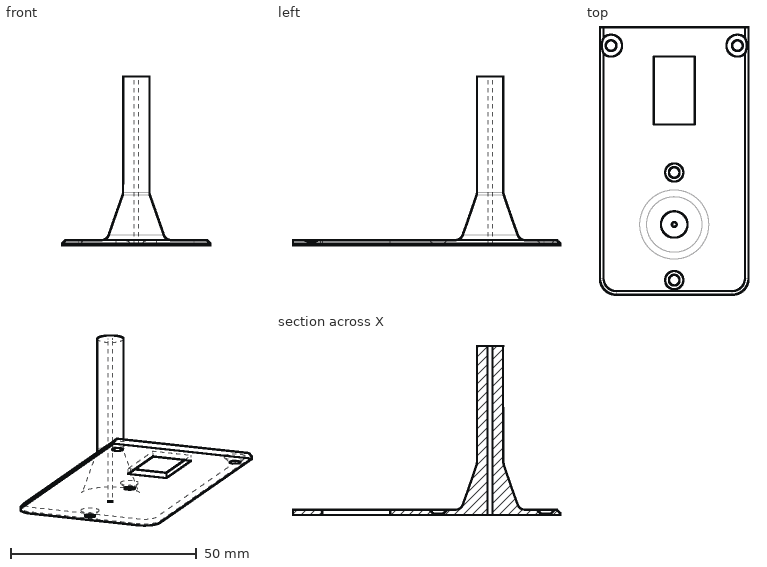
import cadquery as cq

plate_width = 40.0
plate_length = 72.0
plate_thickness = 1.5
corner_radius = 4.5
edge_chamfer = 1.0
back_y = plate_length / 2

window_width = 11.0
window_length = 18.2
window_back_margin = 7.9

post_y = back_y - 53.1
post_diameter = 7.1
bore_diameter = 1.2
cone_base_diameter = 15.85
cone_height = 12.45
cone_top = plate_thickness + cone_height
blend_radius = 1.95
total_height = 45.5

hole_diameter = 2.8
corner_sink_diameter = 5.9
center_sink_diameter = 4.9
corner_sink_depth = plate_thickness
center_sink_depth = (center_sink_diameter - hole_diameter) / 2
corner_hole_x = 17.0
corner_hole_y = back_y - 5.0
upper_hole_y = post_y + 14.0
lower_hole_y = post_y - 15.0


def make_plate():
    plate = cq.Workplane("XY").box(plate_width, plate_length, plate_thickness, centered=(True, True, False))
    plate = plate.faces("<Y").edges("|Z").fillet(corner_radius)
    return plate.faces(">Z").edges("not(>Y)").chamfer(edge_chamfer)


def make_post():
    post_radius = post_diameter / 2
    profile = (
        cq.Workplane("XZ")
        .moveTo(0, 0)
        .lineTo(cone_base_diameter / 2, 0)
        .lineTo(cone_base_diameter / 2, plate_thickness)
        .lineTo(post_radius, cone_top)
        .lineTo(post_radius, total_height)
        .lineTo(0, total_height)
        .close()
    )
    return profile.revolve(360, (0, 0), (0, 1)).translate((0, post_y, 0))


def blend_cone_ends(body):
    for height in (plate_thickness, cone_top):
        seam_center = (0, post_y, height)
        seam = body.edges("%CIRCLE").edges(cq.selectors.NearestToPointSelector(seam_center))
        body = seam.fillet(blend_radius)
    return body


def sunk_hole_cutter(x, y, sink_diameter, sink_depth):
    sink_bottom = plate_thickness - sink_depth
    hole = cq.Workplane("XY").circle(hole_diameter / 2).extrude(plate_thickness)
    sink = cq.Workplane(
        cq.Solid.makeCone(
            hole_diameter / 2, sink_diameter / 2, sink_depth, pnt=cq.Vector(0, 0, sink_bottom)
        )
    )
    return hole.union(sink).translate((x, y, 0))


def cut_window(body):
    window_y = back_y - window_back_margin - window_length / 2
    window = cq.Workplane("XY").center(0, window_y).rect(window_width, window_length)
    return body.cut(window.extrude(plate_thickness))


def cut_screw_holes(body):
    for x in (-corner_hole_x, corner_hole_x):
        body = body.cut(sunk_hole_cutter(x, corner_hole_y, corner_sink_diameter, corner_sink_depth))
    for y in (upper_hole_y, lower_hole_y):
        body = body.cut(sunk_hole_cutter(0, y, center_sink_diameter, center_sink_depth))
    return body


def cut_bore(body):
    bore = cq.Workplane("XY").center(0, post_y).circle(bore_diameter / 2).extrude(total_height)
    return body.cut(bore)


result = make_plate().union(make_post())
result = blend_cone_ends(result)
result = cut_window(result)
result = cut_screw_holes(result)
result = cut_bore(result)